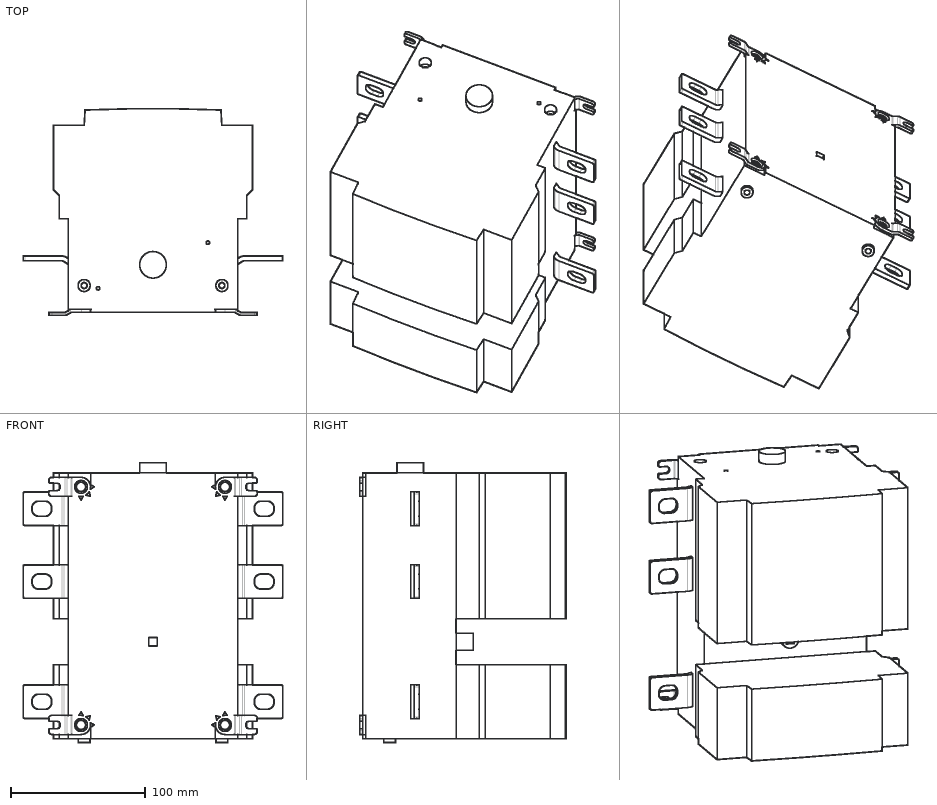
import cadquery as cq
import math

BODY_HEIGHT = 198.2
BACK_Y = 151.8
REAR_HALF_WIDTH = 63.2
NECK_HALF_WIDTH = 69.9
SHOULDER_HALF_WIDTH = 74.3
NECK_Y = 69.7
CHAMFER_START_Y = 87.0
CHAMFER_END_Y = CHAMFER_START_Y + SHOULDER_HALF_WIDTH - NECK_HALF_WIDTH
SHOULDER_Y = 139.5
HOOD_HALF_WIDTH = 51.3
HOOD_TAPER = 0.6
HOOD_CROWN = 1.0

SHAFT_Z = 72.4
GAP_HEIGHT = 34.0
SHAFT_DIAMETER = 13.0
SHAFT_TIP_Y = 82.4
SHAFT_SQUARE = 6.3
CROSS_HOLE_DIAMETER = 4.5
CROSS_HOLE_Y = 77.5

BUTTON_DIAMETER = 19.8
BUTTON_HEIGHT = 7.7
BUTTON_Y = 35.5
PEG_DIAMETER = 9.0
PEG_HEIGHT = 2.7
PEG_X = 51.3
PEG_Y = 20.0
PEG_BORE = 4.2
SOCKET_DEPTH = 8.3
PINHOLE_DIAMETER = 2.5
PINHOLE_DEPTH = 4.2
PINHOLE_CENTRES = [(-40.9, 18.0), (40.9, 52.0)]

OVERALL_WIDTH = 193.4
TERMINAL_ZS = [27.7, 117.2, 171.5]
TERMINAL_END_X = OVERALL_WIDTH / 2
TERMINAL_WIDTH = 25.0
TERMINAL_THICKNESS = 3.8
TERMINAL_FRONT_Y = 38.4
TERMINAL_BEND_X = 67.2
TERMINAL_WALL_Y = 35.7
TERMINAL_BEND_RADIUS = 3.1
TERMINAL_CORNER_RADIUS = 1.3
SLOT_X = 82.8
SLOT_LENGTH = 14.4
SLOT_HEIGHT = 11.0
SLOT_CORNER_RADIUS = 4.8

BRACKET_THICKNESS = 2.3
BRACKET_HALF_WIDTH = 7.0
BRACKET_X = 53.6
BRACKET_EDGE_DISTANCE = 10.5
BRACKET_Z = BODY_HEIGHT - BRACKET_EDGE_DISTANCE
BRACKET_END_X = 77.5
BRACKET_BEND_XS = (61.0, 64.9)
BRACKET_BEND_RADIUS = 1.3
BRACKET_HOLE_DIAMETER = 6.9
COUNTERSINK_DIAMETER = 9.5
FORK_SLOT_WIDTH = 5.5
FORK_SLOT_END_X = 69.0
FORK_OUTER_RADIUS = 2.0
FORK_INNER_RADIUS = 1.0
POCKET_INNER_X = 46.3
TOOTH_TIP_RADIUS = 9.8
TOOTH_COUNT = 8
TOOTH_HALF_ANGLE = math.radians(15)


def box(x0, x1, y0, y1, z0, z1):
    """Axis-aligned box between two corners."""
    return cq.Workplane("XY").box(x1 - x0, y1 - y0, z1 - z0, centered=False).translate((x0, y0, z0))


def along_y(x, z, y0, y1, diameter):
    """Cylinder running in Y from y0 to y1."""
    return cq.Workplane("XZ", origin=(x, y0, z)).circle(diameter / 2).extrude(y0 - y1)


def along_z(x, y, z0, z1, diameter):
    """Cylinder running in Z from z0 to z1."""
    return cq.Workplane("XY", origin=(x, y, z0)).circle(diameter / 2).extrude(z1 - z0)


def both_sides(shape):
    """The shape together with its mirror image across X = 0."""
    return shape.union(shape.mirror("YZ"))


def bent_strip(path, thickness, bend_radius, z0, z1):
    """Sheet strip whose front face follows path (outer end first), with rounded bends."""
    angles = [math.atan2(a[1] - b[1], a[0] - b[0]) for a, b in zip(path, path[1:])]
    starts = [angles[0]] + angles
    ends = angles + [angles[-1]]
    back = []
    for (x, y), start, end in zip(path, starts, ends):
        middle = (start + end) / 2
        reach = thickness / math.cos((end - start) / 2)
        back.append((x - reach * math.sin(middle), y + reach * math.cos(middle)))
    strip = cq.Workplane("XY", origin=(0, 0, z0)).polyline(path + back[::-1]).close().extrude(z1 - z0)
    for i in range(1, len(path) - 1):
        front_is_hollow = angles[i] > angles[i - 1]
        front_radius = bend_radius if front_is_hollow else bend_radius + thickness
        back_radius = bend_radius + thickness if front_is_hollow else bend_radius
        middle_z = (z0 + z1) / 2
        for (x, y), radius in ((path[i], front_radius), (back[i], back_radius)):
            strip = strip.edges(cq.NearestToPointSelector((x, y, middle_z))).fillet(radius)
    return strip


def make_housing():
    right_side = [
        (REAR_HALF_WIDTH, 0),
        (REAR_HALF_WIDTH, NECK_Y),
        (NECK_HALF_WIDTH, NECK_Y),
        (NECK_HALF_WIDTH, CHAMFER_START_Y),
        (SHOULDER_HALF_WIDTH, CHAMFER_END_Y),
        (SHOULDER_HALF_WIDTH, SHOULDER_Y),
        (HOOD_HALF_WIDTH, SHOULDER_Y),
        (HOOD_HALF_WIDTH - HOOD_TAPER, BACK_Y - HOOD_CROWN),
    ]
    left_side = [(-x, y) for x, y in reversed(right_side)]
    outline = cq.Workplane("XY").polyline(right_side).threePointArc((0, BACK_Y), left_side[0])
    for point in left_side[1:]:
        outline = outline.lineTo(*point)
    housing = outline.close().extrude(BODY_HEIGHT)
    return housing.cut(box(
        -SHOULDER_HALF_WIDTH, SHOULDER_HALF_WIDTH, NECK_Y, BACK_Y,
        SHAFT_Z - GAP_HEIGHT / 2, SHAFT_Z + GAP_HEIGHT / 2,
    ))


def add_shaft(body):
    """Shaft with a square bore through to the mounting face and a cross hole in its -X wall."""
    body = body.union(along_y(0, SHAFT_Z, NECK_Y - SHAFT_SQUARE, SHAFT_TIP_Y, SHAFT_DIAMETER))
    half = SHAFT_SQUARE / 2
    body = body.cut(box(-half, half, 0, SHAFT_TIP_Y, SHAFT_Z - half, SHAFT_Z + half))
    cross_hole = (
        cq.Workplane("YZ", origin=(0, CROSS_HOLE_Y, SHAFT_Z))
        .circle(CROSS_HOLE_DIAMETER / 2)
        .extrude(-SHAFT_DIAMETER / 2)
    )
    return body.cut(cross_hole)


def add_end_details(body):
    body = body.union(along_z(0, BUTTON_Y, BODY_HEIGHT, BODY_HEIGHT + BUTTON_HEIGHT, BUTTON_DIAMETER))
    for x in (-PEG_X, PEG_X):
        body = body.union(along_z(x, PEG_Y, -PEG_HEIGHT, 0, PEG_DIAMETER))
        body = body.cut(along_z(x, PEG_Y, BODY_HEIGHT - SOCKET_DEPTH, BODY_HEIGHT, PEG_DIAMETER))
        body = body.cut(along_z(x, PEG_Y, -PEG_HEIGHT, BODY_HEIGHT, PEG_BORE))
    for x, y in PINHOLE_CENTRES:
        body = body.cut(along_z(x, y, BODY_HEIGHT - PINHOLE_DEPTH, BODY_HEIGHT, PINHOLE_DIAMETER))
    return body


def make_terminal(z):
    wall_slope = (TERMINAL_FRONT_Y - TERMINAL_WALL_Y) / (TERMINAL_BEND_X - REAR_HALF_WIDTH)
    root_depth = TERMINAL_THICKNESS
    path = [
        (TERMINAL_END_X, TERMINAL_FRONT_Y),
        (TERMINAL_BEND_X, TERMINAL_FRONT_Y),
        (REAR_HALF_WIDTH - root_depth, TERMINAL_WALL_Y - wall_slope * root_depth),
    ]
    half = TERMINAL_WIDTH / 2
    tab = bent_strip(path, TERMINAL_THICKNESS, TERMINAL_BEND_RADIUS, z - half, z + half)
    tab = tab.faces(">X").edges("|Y").fillet(TERMINAL_CORNER_RADIUS)
    slot = (
        cq.Workplane("XZ", origin=(SLOT_X, TERMINAL_FRONT_Y, z))
        .rect(SLOT_LENGTH, SLOT_HEIGHT)
        .extrude(-TERMINAL_THICKNESS)
        .edges("|Y")
        .fillet(SLOT_CORNER_RADIUS)
    )
    return tab.cut(slot)


def make_bracket_pocket():
    """Corner recess of one bracket, with detent notches around its pivot."""
    depth = BRACKET_THICKNESS
    pocket = box(POCKET_INNER_X, REAR_HALF_WIDTH, 0, depth, BRACKET_Z, BODY_HEIGHT)
    pocket = pocket.union(box(
        BRACKET_X, REAR_HALF_WIDTH, 0, depth, BRACKET_Z - BRACKET_HALF_WIDTH, BRACKET_Z,
    ))
    pocket = pocket.union(along_y(BRACKET_X, BRACKET_Z, 0, depth, 2 * BRACKET_HALF_WIDTH))
    for i in range(TOOTH_COUNT):
        angle = 2 * math.pi * i / TOOTH_COUNT
        left = angle - TOOTH_HALF_ANGLE
        right = angle + TOOTH_HALF_ANGLE
        notch = [(0, 0)]
        for radius, direction in (
            (BRACKET_HALF_WIDTH, left), (TOOTH_TIP_RADIUS, angle), (BRACKET_HALF_WIDTH, right),
        ):
            notch.append((radius * math.cos(direction), radius * math.sin(direction)))
        pocket = pocket.union(
            cq.Workplane("XZ", origin=(BRACKET_X, 0, BRACKET_Z)).polyline(notch).close().extrude(-depth)
        )
    return pocket


def make_bracket():
    """Forked foot: a pivot pad flush in its pocket, stepping forward to a slotted end."""
    t = BRACKET_THICKNESS
    low = BRACKET_Z - BRACKET_HALF_WIDTH
    high = BRACKET_Z + BRACKET_HALF_WIDTH
    inner_bend, outer_bend = BRACKET_BEND_XS
    path = [
        (BRACKET_END_X, -t),
        (outer_bend, -t),
        (inner_bend, 0),
        (BRACKET_X - BRACKET_HALF_WIDTH, 0),
    ]
    strip = bent_strip(path, t, BRACKET_BEND_RADIUS, low, high)

    slot_radius = FORK_SLOT_WIDTH / 2
    slot_centre_x = FORK_SLOT_END_X + slot_radius
    fork = box(BRACKET_X, BRACKET_END_X, -t, t, low, high)
    fork = fork.cut(box(
        slot_centre_x, BRACKET_END_X, -t, t, BRACKET_Z - slot_radius, BRACKET_Z + slot_radius,
    ))
    fork = fork.cut(along_y(slot_centre_x, BRACKET_Z, -t, t, FORK_SLOT_WIDTH))
    for side in (-1, 1):
        for offset, radius in ((BRACKET_HALF_WIDTH, FORK_OUTER_RADIUS), (slot_radius, FORK_INNER_RADIUS)):
            corner = (BRACKET_END_X, 0, BRACKET_Z + side * offset)
            fork = fork.edges("|Y").edges(cq.NearestToPointSelector(corner)).fillet(radius)
    pad = along_y(BRACKET_X, BRACKET_Z, -t, t, 2 * BRACKET_HALF_WIDTH)
    bracket = strip.intersect(fork.union(pad))

    bracket = bracket.cut(along_y(BRACKET_X, BRACKET_Z, 0, t, BRACKET_HOLE_DIAMETER))
    countersink_depth = (COUNTERSINK_DIAMETER - BRACKET_HOLE_DIAMETER) / 2
    countersink = (
        cq.Workplane("XZ", origin=(BRACKET_X, 0, BRACKET_Z))
        .circle(COUNTERSINK_DIAMETER / 2)
        .workplane(offset=-countersink_depth)
        .circle(BRACKET_HOLE_DIAMETER / 2)
        .loft()
    )
    return bracket.cut(countersink)


def at_four_corners(shape):
    """Copies of an upper right corner shape at all four corners of the mounting face."""
    lower = shape.mirror("XY", (0, 0, BODY_HEIGHT / 2))
    return both_sides(shape.union(lower))


result = make_housing()
result = add_shaft(result)
result = add_end_details(result)
for terminal_z in TERMINAL_ZS:
    result = result.union(both_sides(make_terminal(terminal_z)))
result = result.cut(at_four_corners(make_bracket_pocket()))
result = result.union(at_four_corners(make_bracket()))